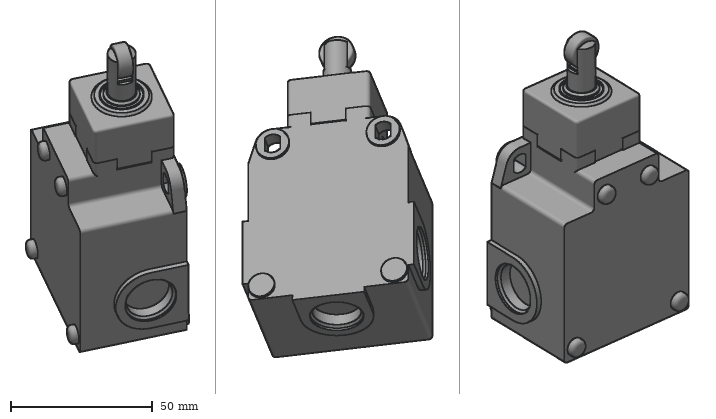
import cadquery as cq
import math


body_width = 58.0
pad_height = 2.0
body_bottom = pad_height
shoulder_z = 59.6
neck_top = 72.0
head_width = 30.0
rear_y = head_width / 2
front_y = -24.5
body_depth = rear_y - front_y
edge_radius = 1.5

joint_z = 77.0
tongue_width = 12.8
tongue_gap = 0.4

lug_thickness = 5.0
lug_radius = 6.6
lug_x = 20.0
lug_z = neck_top - lug_radius
lug_foot_z = 58.6
lug_hole_diameter = 7.4
lug_hole_width = 5.6
lug_boss_diameter = 12.0
boss_height = 1.0

upper_screw_x = 10.0
upper_screw_z = 65.0
lower_screw_x = 24.0
lower_screw_z = 7.2
screw_radius = 3.5
screw_height = 2.8
screw_fillet = 1.7
lower_boss_diameter = 9.4

pad_radius = 13.0
entry_y = 1.0
side_entry_z = 22.0
entry_mouth_radius = 9.5
entry_radius = 8.6
entry_mouth_depth = 0.9
entry_cone_depth = entry_mouth_radius - entry_radius
entry_depth = 6.0

head_top = 92.0
head_top_radius = 1.0
flange_base_radius = 10.7
flange_radius = 9.7
flange_lip_radius = 7.9
flange_shoulder_z = 92.9
flange_top = 93.2
groove_inner_radius = 7.6
groove_floor_z = 92.9
collar_radius = 6.5
collar_top_radius = 5.4
collar_base_z = 93.7
collar_top = 94.4

plunger_radius = 5.0
plunger_shoulder_z = 112.3
plunger_top_slope = 30.0
roller_top = 115.4
roller_radius = 6.2
roller_width = 5.2
roller_fillet = 0.7
roller_z = roller_top - roller_radius
fork_width = 5.4
fork_floor = 102.0
pedestal_top = 102.9
pedestal_length = 7.2


def box(x_size, y_min, y_max, z_min, z_max):
    """Block centred on X = 0."""
    return (
        cq.Workplane("XY")
        .box(x_size, y_max - y_min, z_max - z_min, centered=(True, False, False))
        .translate((0, y_min, z_min))
    )


def along_y(y):
    """Sketch plane at the given Y, with X to the right, Z up and extrusion toward -Y."""
    return cq.Workplane("XZ", origin=(0, y, 0))


def revolve_about_z(points):
    """Solid of revolution from (radius, z) points."""
    return cq.Workplane("XZ").polyline(points).close().revolve(360, (0, 0), (0, 1))


def cross_tongue(z_min, z_max):
    """Cross-shaped bars running the full width of the head in X and Y."""
    half = tongue_width / 2
    bar_y = box(tongue_width, -rear_y, rear_y, z_min, z_max)
    bar_x = box(head_width, -half, half, z_min, z_max)
    return bar_x.union(bar_y)


def body_block():
    """Wide body with a narrower neck and rounded outline corners."""
    half_body = body_width / 2
    half_neck = head_width / 2
    outline = [
        (-half_body, body_bottom),
        (half_body, body_bottom),
        (half_body, shoulder_z),
        (half_neck, shoulder_z),
        (half_neck, neck_top),
        (-half_neck, neck_top),
        (-half_neck, shoulder_z),
        (-half_body, shoulder_z),
    ]
    block = along_y(rear_y).polyline(outline).close().extrude(body_depth)
    return block.edges("|Y").fillet(edge_radius)


def head_seat():
    """Square upstand with a cross-shaped slot for the head's tongue."""
    seat = box(head_width, -rear_y, rear_y, shoulder_z, joint_z).edges("|Z").fillet(edge_radius)
    return seat.cut(cross_tongue(neck_top, joint_z))


def lug(side):
    """Mounting ear beside the neck with a round top; side is -1 or 1."""
    foot = (side * body_width / 2, lug_foot_z)
    foot_dx = body_width / 2 - lug_x
    foot_dz = lug_foot_z - lug_z
    distance = math.hypot(foot_dx, foot_dz)
    tangent_angle = math.atan2(foot_dz, foot_dx) + math.acos(lug_radius / distance)
    middle_angle = (tangent_angle + math.pi / 2) / 2

    def on_arc(angle):
        return (
            side * (lug_x + lug_radius * math.cos(angle)),
            lug_z + lug_radius * math.sin(angle),
        )

    return (
        along_y(rear_y)
        .moveTo(0, neck_top)
        .lineTo(side * lug_x, neck_top)
        .threePointArc(on_arc(middle_angle), on_arc(tangent_angle))
        .lineTo(*foot)
        .lineTo(0, lug_foot_z)
        .close()
        .extrude(lug_thickness)
    )


def rear_boss(x, z, diameter):
    return along_y(rear_y + boss_height).center(x, z).circle(diameter / 2).extrude(boss_height)


def lug_hole(side):
    """Round hole with flats on its two sides."""
    length = lug_thickness + boss_height
    start = along_y(rear_y + boss_height).center(side * lug_x, lug_z)
    round_hole = start.circle(lug_hole_diameter / 2).extrude(length)
    return round_hole.intersect(start.rect(lug_hole_width, lug_hole_diameter).extrude(length))


def screw_head(x, z):
    """Round head with a domed edge, standing on the front face."""
    head = along_y(front_y).center(x, z).circle(screw_radius).extrude(screw_height)
    return head.faces("<Y").edges().fillet(screw_fillet)


def entry_pad(plane):
    """Raised pad, rounded toward the front and square at the rear face."""
    return (
        plane.moveTo(rear_y, -pad_radius)
        .lineTo(entry_y, -pad_radius)
        .threePointArc((entry_y - pad_radius, 0), (entry_y, pad_radius))
        .lineTo(rear_y, pad_radius)
        .close()
        .extrude(-pad_height)
    )


def entry_hole(plane):
    """Blind conduit hole with a short wide mouth that tapers at 45 degrees to the bore."""
    start = plane.center(entry_y, 0)
    bore = start.circle(entry_radius).extrude(-entry_depth)
    mouth = start.circle(entry_mouth_radius).extrude(-entry_mouth_depth)
    cone = start.workplane(offset=-entry_mouth_depth).circle(entry_mouth_radius)
    return bore.union(mouth).union(cone.extrude(-entry_cone_depth, taper=45))


def entry_planes():
    """Outer faces of the three pads, each with its local X along the part's Y."""
    face_x = body_width / 2 + pad_height
    faces = [
        ((-face_x, 0, side_entry_z), (-1, 0, 0)),
        ((face_x, 0, side_entry_z), (1, 0, 0)),
        ((0, 0, 0), (0, 0, -1)),
    ]
    return [
        cq.Workplane(cq.Plane(origin=origin, xDir=(0, 1, 0), normal=normal))
        for origin, normal in faces
    ]


def make_housing():
    body = body_block().union(head_seat())
    for side in (-1, 1):
        body = body.union(lug(side))
        body = body.union(rear_boss(side * lug_x, lug_z, lug_boss_diameter))
        body = body.union(rear_boss(side * lower_screw_x, lower_screw_z, lower_boss_diameter))
        body = body.cut(lug_hole(side))
        body = body.union(screw_head(side * upper_screw_x, upper_screw_z))
        body = body.union(screw_head(side * lower_screw_x, lower_screw_z))
    for plane in entry_planes():
        body = body.union(entry_pad(plane)).cut(entry_hole(plane))
    return body


def make_head():
    """Square head with a cross tongue below, a flange and a collar around the plunger."""
    head = box(head_width, -rear_y, rear_y, neck_top + tongue_gap, head_top)
    head = head.edges("|Z").fillet(edge_radius).faces(">Z").edges().fillet(head_top_radius)
    below_joint = box(head_width, -rear_y, rear_y, neck_top, joint_z)
    head = head.cut(below_joint.cut(cross_tongue(neck_top, joint_z)))
    flange = revolve_about_z([
        (0, joint_z),
        (flange_base_radius, joint_z),
        (flange_base_radius, head_top),
        (flange_radius, flange_shoulder_z),
        (flange_lip_radius, flange_top),
        (flange_lip_radius, groove_floor_z),
        (groove_inner_radius, groove_floor_z),
        (groove_inner_radius, flange_top),
        (collar_radius, flange_top),
        (collar_radius, collar_base_z),
        (collar_top_radius, collar_top),
        (0, collar_top),
    ])
    bore = cq.Workplane("XY", origin=(0, 0, joint_z)).circle(plunger_radius)
    return head.union(flange).cut(bore.extrude(collar_top - joint_z))


def make_plunger():
    """Round plunger with a conical top and a fork slot that leaves a pedestal under the roller."""
    apex_z = plunger_shoulder_z + plunger_radius * math.tan(math.radians(plunger_top_slope))
    rod = revolve_about_z([
        (0, joint_z),
        (plunger_radius, joint_z),
        (plunger_radius, plunger_shoulder_z),
        (0, apex_z),
    ])
    half = fork_width / 2
    slot = box(2 * plunger_radius, -half, half, fork_floor, apex_z)
    pedestal = box(pedestal_length, -half, half, fork_floor, pedestal_top)
    return rod.cut(slot.cut(pedestal))


def make_roller():
    disc = along_y(roller_width / 2).center(0, roller_z).circle(roller_radius).extrude(roller_width)
    return disc.edges().fillet(roller_fillet)


housing = make_housing()
head = make_head()
plunger = make_plunger()
roller = make_roller()

result = cq.Compound.makeCompound([housing.val(), head.val(), plunger.val(), roller.val()])